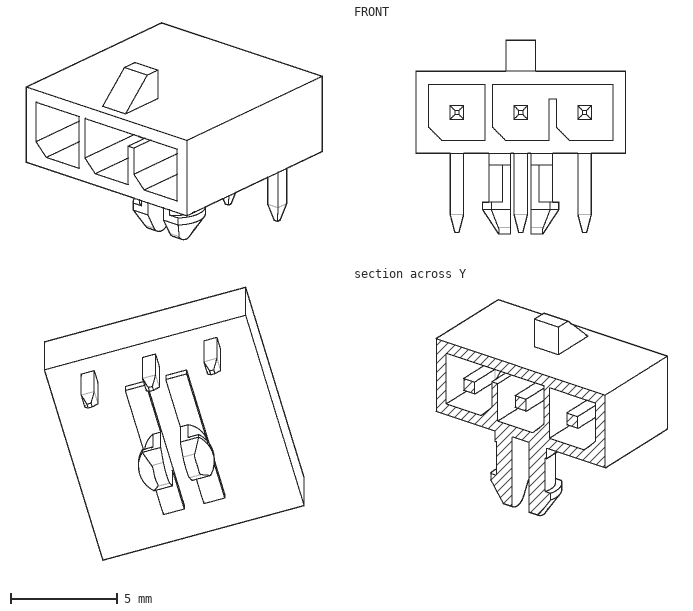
import cadquery as cq
import math

body_x = 9.85
body_y = 9.91
body_z = 3.86
front_y = -body_y / 2

pitch = 3.00
contact_xs = [-pitch, 0, pitch]
pin_size = 0.64
pin_tip_size = 0.20
pin_tip_length = 0.84
pin_drop = 3.72
tail_y = 3.95
contact_z = 1.92
contact_recess = 2.5

cavity_size = 2.65
cavity_corner = 0.63
cavity_depth = 7.5
low_wall_height = 1.97

latch_width = 1.40
latch_height = 1.46
latch_back_y = -2.04
latch_flat = 0.77
latch_length = 2.36

rail_inner_x = 0.48
rail_outer_x = 1.50
rail_back_y = 3.10
rail_front_y = -3.36
rail_height = 0.55

peg_y = -0.36
peg_width = 2.00
peg_radius = 1.10
peg_axis_x = rail_outer_x - peg_radius
lip_radius = 1.40
lip_top_z = -2.29
lip_bottom_z = -2.65
peg_bottom_z = -3.80
peg_end_radius = 0.64
nose_radius = 0.62
nose_angle = math.radians(60)


def make_body():
    return cq.Workplane("XY").box(body_x, body_y, body_z, centered=(True, True, False))


def make_cavity(contact_x):
    """Square socket with its lower -X corner cut off, open at the front."""
    half = cavity_size / 2
    left = contact_x - half
    right = contact_x + half
    bottom = contact_z - half
    top = contact_z + half
    return (
        cq.Workplane("XZ", origin=(0, front_y, 0))
        .moveTo(left + cavity_corner, bottom)
        .lineTo(right, bottom)
        .lineTo(right, top)
        .lineTo(left, top)
        .lineTo(left, bottom + cavity_corner)
        .close()
        .extrude(-cavity_depth)
    )


def make_low_wall_gap():
    """Opening above the low wall between the middle and the +X cavities."""
    gap_bottom = contact_z - cavity_size / 2 + low_wall_height
    gap_top = contact_z + cavity_size / 2
    return cq.Workplane("XY", origin=(0, front_y, gap_bottom)).box(
        pitch, cavity_depth, gap_top - gap_bottom, centered=False
    )


def make_latch():
    top_z = body_z + latch_height
    return (
        cq.Workplane("YZ")
        .moveTo(latch_back_y, body_z)
        .lineTo(latch_back_y, top_z)
        .lineTo(latch_back_y - latch_flat, top_z)
        .lineTo(latch_back_y - latch_length, body_z)
        .close()
        .extrude(latch_width / 2, both=True)
    )


def make_pin(start, direction, length):
    """Square pin of the given overall length, ending in a blunt pyramid."""
    x_axis = cq.Vector(1, 0, 0)
    shank_length = length - pin_tip_length
    shank = cq.Workplane(cq.Plane(start, x_axis, direction)).rect(pin_size, pin_size).extrude(shank_length)
    tip_start = start + direction * shank_length
    tip = (
        cq.Workplane(cq.Plane(tip_start, x_axis, direction))
        .rect(pin_size, pin_size)
        .workplane(offset=pin_tip_length)
        .rect(pin_tip_size, pin_tip_size)
        .loft()
    )
    return shank.union(tip)


def make_contact(contact_x):
    """Right-angle contact: one leg points forward in the cavity, the other down through the body."""
    start = cq.Vector(contact_x, tail_y, contact_z)
    forward_length = tail_y - front_y - contact_recess
    return make_pin(start, cq.Vector(0, -1, 0), forward_length).union(
        make_pin(start, cq.Vector(0, 0, -1), contact_z + pin_drop)
    )


def make_rail():
    return cq.Workplane("XY", origin=(rail_inner_x, rail_front_y, -rail_height)).box(
        rail_outer_x - rail_inner_x, rail_back_y - rail_front_y, rail_height, centered=False
    )


def make_peg_half():
    """+X half of the peg: a turned shape kept only within the flat inner face and the flanks."""
    turned = (
        cq.Workplane("XZ", origin=(peg_axis_x, peg_y, 0))
        .lineTo(peg_radius, 0)
        .lineTo(peg_radius, lip_top_z)
        .lineTo(lip_radius, lip_top_z)
        .lineTo(lip_radius, lip_bottom_z)
        .lineTo(peg_end_radius, peg_bottom_z)
        .lineTo(0, peg_bottom_z)
        .close()
        .revolve(360, (0, 0, 0), (0, 1, 0))
    )
    half_width = peg_width / 2
    nose_half_width = nose_radius * math.sin(nose_angle)
    nose_top_z = peg_bottom_z + nose_radius * (1 - math.cos(nose_angle))
    flanks = (
        cq.Workplane("YZ", origin=(rail_inner_x, peg_y, 0))
        .moveTo(-half_width, 0)
        .lineTo(-half_width, lip_bottom_z)
        .lineTo(-nose_half_width, nose_top_z)
        .threePointArc((0, peg_bottom_z), (nose_half_width, nose_top_z))
        .lineTo(half_width, lip_bottom_z)
        .lineTo(half_width, 0)
        .close()
        .extrude(peg_axis_x + lip_radius)
    )
    return turned.intersect(flanks)


result = make_body()
for x in contact_xs:
    result = result.cut(make_cavity(x))
result = result.cut(make_low_wall_gap())
result = result.union(make_latch())
for x in contact_xs:
    result = result.union(make_contact(x))

board_lock_half = make_rail().union(make_peg_half())
result = result.union(board_lock_half).union(board_lock_half.mirror("YZ"))